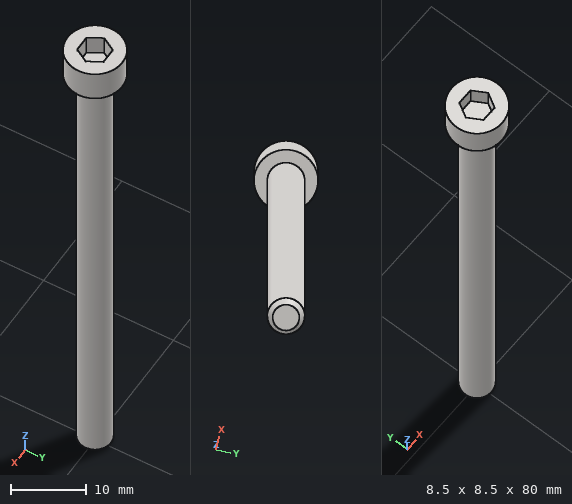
import cadquery as cq
import math

total_length = 80.0
head_diameter = 8.5
shank_diameter = 5.0
head_height = shank_diameter
shank_length = total_length - head_height
tip_diameter = 3.5
tip_chamfer_height = 0.8
socket_across_flats = 4.1
socket_depth = 3.0


def make_shank():
    """Plain cylinder from the tip to the underside of the head, tapered at the tip."""
    tip_chamfer_width = (shank_diameter - tip_diameter) / 2
    shank = cq.Workplane("XY").circle(shank_diameter / 2).extrude(shank_length)
    return shank.faces("<Z").chamfer(tip_chamfer_height, tip_chamfer_width)


def make_head():
    """Cylindrical head sitting on top of the shank."""
    return (
        cq.Workplane("XY")
        .workplane(offset=shank_length)
        .circle(head_diameter / 2)
        .extrude(head_height)
    )


def make_socket():
    """Hexagonal drive socket, with two corners on the X axis."""
    across_corners = socket_across_flats / math.cos(math.pi / 6)
    return (
        cq.Workplane("XY")
        .workplane(offset=total_length)
        .polygon(6, across_corners)
        .extrude(-socket_depth)
    )


result = make_shank().union(make_head()).cut(make_socket())